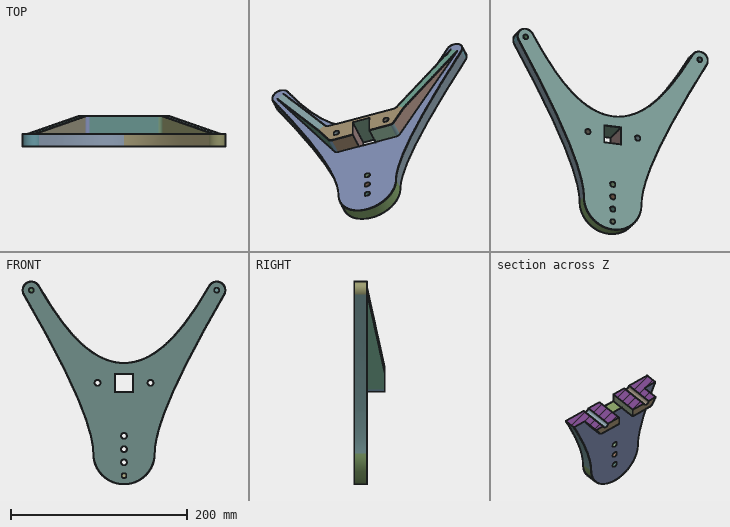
import cadquery as cq
import math

plate_thickness = 15.0
edge_chamfer = 0.5
tip_offset = 105.0
tip_radius = 10.0
base_radius = 35.0
base_center_z = -80.0
tip_angle = math.radians(60.0)

outer_base_pull = 38.0
outer_tip_pull = 74.5
saddle_z = 22.8
saddle_pull = 37.5
saddle_tip_pull = 57.0

window_size = 20.0
screw_diameter = 6.4
side_hole_x = 30.0
stem_hole_zs = (-60.0, -75.0, -90.0)
pin_diameter = 5.6
pin_depth = 10.0
stem_pin_z = -105.0

rib_height = 20.0
wall_bottom_z = -10.0
wall_top_z = 15.0
wall_half_length = 40.0
rib_arm_width = 10.0
rib_fillet = 5.0
rib_root = 5.0


def arm_point(side, along, across, origin, angle):
    """Point in arm coordinates: along the arm, then across it toward the outside."""
    x = origin[0] + along * math.cos(angle) + across * math.sin(angle)
    z = origin[1] + along * math.sin(angle) - across * math.cos(angle)
    return (side * x, z)


def extrude_back(outline, start_y, height):
    """Extrude an XZ outline from start_y toward +Y."""
    return outline.extrude(-height).translate((0, start_y, 0))


def make_plate():
    tip = (tip_offset, tip_offset)

    def tip_point(side, along, across):
        return arm_point(side, along, across, tip, tip_angle)

    outline = (
        cq.Workplane("XZ")
        .moveTo(base_radius, base_center_z)
        .bezier([
            (base_radius, base_center_z),
            (base_radius, base_center_z + outer_base_pull),
            tip_point(1, -outer_tip_pull, tip_radius),
            tip_point(1, 0, tip_radius),
        ])
        .threePointArc(tip_point(1, tip_radius, 0), tip_point(1, 0, -tip_radius))
        .bezier([
            tip_point(1, 0, -tip_radius),
            tip_point(1, -saddle_tip_pull, -tip_radius),
            (saddle_pull, saddle_z),
            (0, saddle_z),
        ])
        .bezier([
            (0, saddle_z),
            (-saddle_pull, saddle_z),
            tip_point(-1, -saddle_tip_pull, -tip_radius),
            tip_point(-1, 0, -tip_radius),
        ])
        .threePointArc(tip_point(-1, tip_radius, 0), tip_point(-1, 0, tip_radius))
        .bezier([
            tip_point(-1, 0, tip_radius),
            tip_point(-1, -outer_tip_pull, tip_radius),
            (-base_radius, base_center_z + outer_base_pull),
            (-base_radius, base_center_z),
        ])
        .threePointArc((0, base_center_z - base_radius), (base_radius, base_center_z))
        .close()
    )
    plate = extrude_back(outline, 0, plate_thickness)
    return plate.faces("<Y or >Y").edges().chamfer(edge_chamfer)


def make_rib():
    wall_mid_z = (wall_bottom_z + wall_top_z) / 2
    rise = tip_offset - wall_mid_z
    run = tip_offset - wall_half_length
    arm_angle = math.atan2(rise, run)
    half_width = rib_arm_width / 2
    tip = (tip_offset, tip_offset)

    def along_at(z, across):
        """Distance along the arm at which its edge reaches height z."""
        return (z - tip_offset + across * math.cos(arm_angle)) / math.sin(arm_angle)

    inner_corner = along_at(wall_top_z, -half_width)
    taper_start = inner_corner + rib_fillet * math.tan(arm_angle / 2)
    bottom_start = along_at(wall_bottom_z, half_width)

    def rib_point(side, along, across):
        return arm_point(side, along, across, tip, arm_angle)

    outline = (
        cq.Workplane("XZ")
        .polyline([
            rib_point(1, bottom_start, half_width),
            rib_point(1, 0, half_width),
            rib_point(1, 0, -half_width),
            rib_point(1, inner_corner, -half_width),
            rib_point(-1, inner_corner, -half_width),
            rib_point(-1, 0, -half_width),
            rib_point(-1, 0, half_width),
            rib_point(-1, bottom_start, half_width),
        ])
        .close()
    )
    rib = extrude_back(outline, plate_thickness - rib_root, rib_root + rib_height)
    corner_x = rib_point(1, inner_corner, -half_width)[0] + rib_fillet
    middle = cq.selectors.BoxSelector(
        (-corner_x, 0, wall_bottom_z - 1),
        (corner_x, plate_thickness + rib_height, wall_top_z + 1),
    )
    rib = rib.edges("|Y").edges(middle).fillet(rib_fillet)

    for side in (1, -1):
        direction = cq.Vector(side * math.cos(arm_angle), 0, math.sin(arm_angle))
        arm_plane = cq.Plane(
            origin=(side * tip_offset, plate_thickness, tip_offset),
            xDir=direction,
            normal=direction.cross(cq.Vector(0, 1, 0)),
        )
        waste = (
            cq.Workplane(arm_plane)
            .polyline([(0, 0), (taper_start, rib_height), (0, rib_height)])
            .close()
            .extrude(rib_arm_width, both=True)
        )
        rib = rib.cut(waste)

    def is_rim(edge):
        tangent = edge.tangentAt(0.5)
        crosses_arm = any(
            abs(tangent.x * math.cos(arm_angle) + side * tangent.z * math.sin(arm_angle)) < 0.01
            for side in (1, -1)
        )
        return edge.Center().y > plate_thickness and not crosses_arm

    return rib.edges("not |Y").filter(is_rim).chamfer(edge_chamfer)


def drill(points, diameter, depth):
    """Round cutters entering the front face at the given (x, z) points."""
    return extrude_back(cq.Workplane("XZ").pushPoints(points).circle(diameter / 2), 0, depth)


full_depth = plate_thickness + rib_height
through_points = [(side_hole_x, 0), (-side_hole_x, 0)] + [(0, z) for z in stem_hole_zs]
pin_points = [(tip_offset, tip_offset), (-tip_offset, tip_offset), (0, stem_pin_z)]

window = extrude_back(cq.Workplane("XZ").rect(window_size, window_size), 0, full_depth)
mouth_size = window_size + 2 * edge_chamfer
window_mouth = (
    cq.Workplane("XZ")
    .rect(mouth_size, mouth_size)
    .extrude(-edge_chamfer, taper=45)
)

result = (
    make_plate()
    .union(make_rib())
    .cut(window)
    .cut(window_mouth)
    .cut(drill(through_points, screw_diameter, full_depth))
    .cut(drill(pin_points, pin_diameter, pin_depth))
)